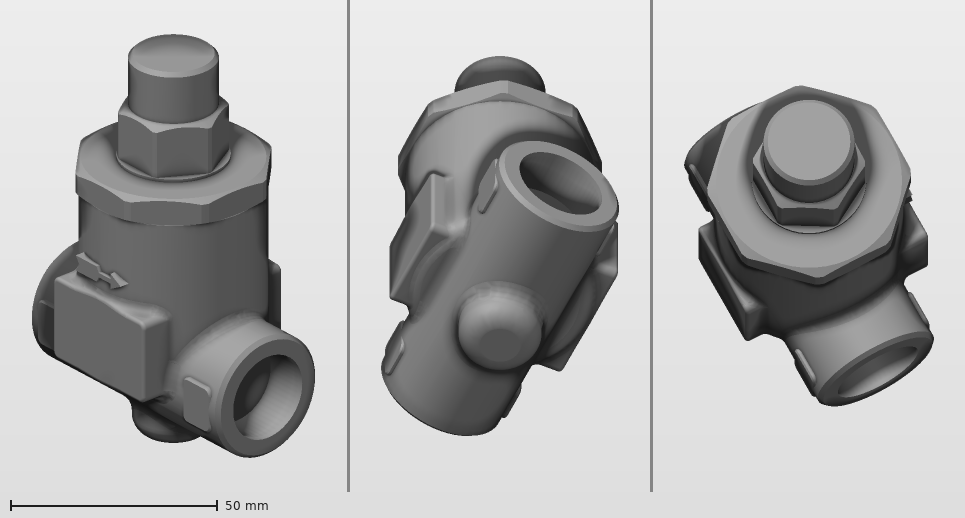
import cadquery as cq
import math

total_height = 103.0
bottom_z = -23.0
top_z = bottom_z + total_height
outer_y = 24.0

pipe_length = 70.0
pipe_dia = 32.0
pipe_end_chamfer = 1.0
bore_dia = 22.0
bore_depth = 11.7

body_dia = 46.0
body_bottom_z = -4.0
body_bottom_fillet = 3.6
body_blend = 2.5
belly_blend = 2.5

cover_sides = 8
cover_flats = 46.4
cover_corner_dia = 49.4
cover_bottom_z = 44.8
cover_top_z = 51.9
cover_face_dia = 45.0
cover_bevel_slope = 0.45

collar_dia = 27.8
collar_top_z = 52.7
hex_sides = 6
hex_flats = 24.1
hex_corner_dia = 27.2
hex_top_z = 66.4
hex_face_dia = 22.2
hex_bevel_slope = 0.6
cap_dia = 22.0
cap_chamfer = 1.0

front_pad_width = 33.9
front_pad_bottom_z = -1.2
front_pad_top_z = 20.8
back_pad_width = 25.3
back_pad_bottom_z = -3.4
back_pad_top_z = 19.2
pad_corner_radius = 1.9
pad_edge_fillet = 0.9
pad_overrun = 5.2

flat_y = pipe_dia / 2
flat_length = 10.2
flat_height = 12.2
flat_center_x = 27.0
flat_corner_radius = 2.0
flat_edge_chamfer = 0.4

boss_dia = 20.2
boss_start_z = -10.3
boss_bottom_fillet = 5.2
boss_root_fillet = 4.1

pick_gap = 0.1
pick_margin = 1.0

arrow_z = 27.7
arrow_tail_x = -8.3
arrow_notch_x = -7.0
arrow_feather_x = -0.6
arrow_shaft_x = 0.2
arrow_head_x = 4.5
arrow_tip_x = 8.3
arrow_half_height = 2.1
arrow_shaft_half = 0.6


def cylinder(dia, z_low, z_high):
    return cq.Workplane("XY").workplane(offset=z_low).circle(dia / 2).extrude(z_high - z_low)


def slab(width, z_low, z_high, y_end):
    """Block centred on X, reaching along Y from the body axis to y_end."""
    block = cq.Workplane("XY").box(width, abs(y_end), z_high - z_low)
    return block.translate((0, y_end / 2, (z_low + z_high) / 2))


def turned_envelope(corner_dia, face_dia, slope, z_low, z_high, bevel_bottom):
    """Turned shape that trims the corners of a prism and bevels its ends."""
    corner_r = corner_dia / 2
    face_r = face_dia / 2
    drop = slope * (corner_r - face_r)
    outline = cq.Workplane("XZ").moveTo(0, z_low)
    if bevel_bottom:
        outline = outline.lineTo(face_r, z_low).lineTo(corner_r, z_low + drop)
    else:
        outline = outline.lineTo(corner_r, z_low)
    outline = outline.lineTo(corner_r, z_high - drop).lineTo(face_r, z_high).lineTo(0, z_high)
    return outline.close().revolve(360, (0, 0, 0), (0, 1, 0))


def make_prism(sides, flats, turn, z_low, z_high):
    """Regular prism given by its width across flats."""
    corner_dia = flats / math.cos(math.pi / sides)
    plane = cq.Workplane("XY").workplane(offset=z_low).transformed(rotate=(0, 0, turn))
    return plane.polygon(sides, corner_dia).extrude(z_high - z_low)


def make_housing():
    """Body, pipe and side pads, blended together."""
    body = cylinder(body_dia, body_bottom_z, cover_bottom_z).faces("<Z").edges().fillet(body_bottom_fillet)
    pipe = cq.Workplane("YZ").circle(pipe_dia / 2).extrude(pipe_length / 2, both=True)
    pad_reach = outer_y + pad_overrun
    front_pad = slab(front_pad_width, front_pad_bottom_z, front_pad_top_z, -pad_reach)
    front_pad = front_pad.edges("|Y").fillet(pad_corner_radius)
    back_pad = slab(back_pad_width, back_pad_bottom_z, back_pad_top_z, pad_reach)
    back_pad = back_pad.edges("|Y").fillet(pad_corner_radius)
    housing = body.union(pipe).union(front_pad).union(back_pad)

    seam_low_z = front_pad_bottom_z + pick_gap
    seam_high_z = front_pad_top_z + pick_margin
    seam_reach = body_dia / 2 + pick_margin
    seams = cq.selectors.BoxSelector(
        (-seam_reach, -seam_reach, seam_low_z), (seam_reach, seam_reach, seam_high_z)
    )
    housing = housing.edges(seams).fillet(body_blend)

    trim = cq.Workplane("XY").box(pipe_length, 2 * outer_y, 2 * total_height)
    housing = housing.intersect(trim)
    housing = housing.faces("<Y or >Y").edges().fillet(pad_edge_fillet)

    edge_y = -math.sqrt((pipe_dia / 2) ** 2 - body_bottom_z ** 2)
    half_length = body_dia / 2
    belly_edge = cq.selectors.BoxSelector(
        (-half_length, edge_y - pick_gap, body_bottom_z - pick_gap),
        (half_length, edge_y + pick_gap, body_bottom_z + pick_gap),
    )
    housing = housing.edges(belly_edge).fillet(belly_blend)
    return housing.faces("<X or >X").chamfer(pipe_end_chamfer)


def add_drain_boss(housing):
    boss = cylinder(boss_dia, bottom_z, boss_start_z).faces("<Z").edges().fillet(boss_bottom_fillet)
    reach = boss_dia / 2 + pick_margin
    seam_low_z = -pipe_dia / 2 - pick_margin
    seam = cq.selectors.BoxSelector((-reach, -reach, seam_low_z), (reach, reach, boss_start_z))
    return housing.union(boss).edges(seam).fillet(boss_root_fillet)


def make_cover():
    half_turn = 180 / cover_sides
    octagon = make_prism(cover_sides, cover_flats, half_turn, cover_bottom_z, cover_top_z)
    envelope = turned_envelope(
        cover_corner_dia, cover_face_dia, cover_bevel_slope, cover_bottom_z, cover_top_z, True
    )
    return octagon.intersect(envelope)


def make_adjusting_screw():
    collar = cylinder(collar_dia, cover_top_z, collar_top_z)
    hexagon = make_prism(hex_sides, hex_flats, 0, collar_top_z, hex_top_z)
    envelope = turned_envelope(
        hex_corner_dia, hex_face_dia, hex_bevel_slope, collar_top_z, hex_top_z, False
    )
    cap = cylinder(cap_dia, hex_top_z, top_z).faces(">Z").chamfer(cap_chamfer)
    return collar.union(hexagon.intersect(envelope)).union(cap)


def make_pipe_flat(x, side):
    """Raised flat on the pipe; side is -1 or +1 along Y."""
    pad = slab(flat_length, -flat_height / 2, flat_height / 2, side * flat_y)
    pad = pad.edges("|Y").fillet(flat_corner_radius)
    outer_face = ">Y" if side > 0 else "<Y"
    return pad.faces(outer_face).chamfer(flat_edge_chamfer).translate((x, 0, 0))


def make_arrow():
    upper = [
        (arrow_notch_x, 0),
        (arrow_tail_x, arrow_half_height),
        (arrow_feather_x, arrow_half_height),
        (arrow_shaft_x, arrow_shaft_half),
        (arrow_head_x, arrow_shaft_half),
        (arrow_head_x, arrow_half_height),
        (arrow_tip_x, 0),
    ]
    lower = [(x, -z) for x, z in reversed(upper[1:-1])]
    arrow = cq.Workplane("XZ").polyline(upper + lower).close().extrude(outer_y)
    return arrow.translate((0, 0, arrow_z))


def make_bore(side):
    """Blind socket bore; side is -1 or +1 along X."""
    mouth = cq.Workplane("YZ").workplane(offset=side * pipe_length / 2)
    return mouth.circle(bore_dia / 2).extrude(-side * bore_depth)


result = add_drain_boss(make_housing())
result = result.union(make_arrow())
for side in (-1, 1):
    for x in (-flat_center_x, flat_center_x):
        result = result.union(make_pipe_flat(x, side))
for side in (-1, 1):
    result = result.cut(make_bore(side))
result = result.union(make_cover()).union(make_adjusting_screw())